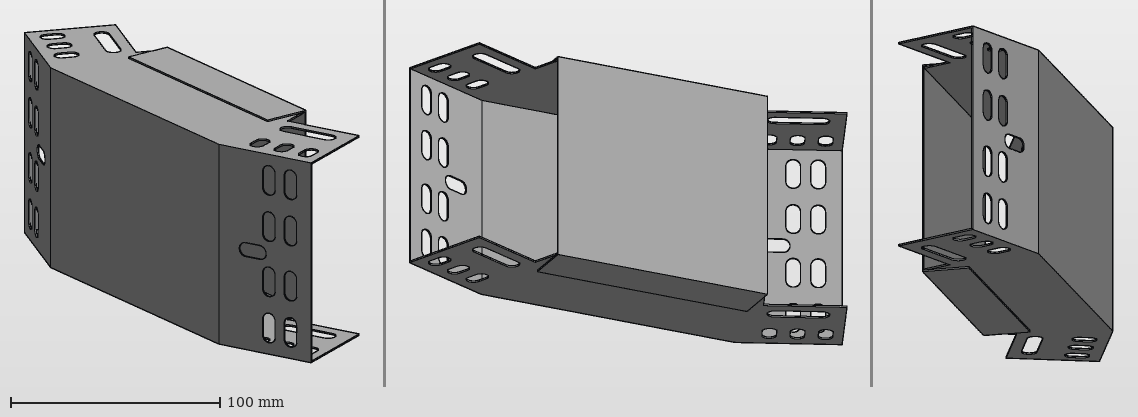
import cadquery as cq
import math


sheet = 0.8
inner_width = 100.0
tray_width = inner_width + 2 * sheet

leg_angle = 22.5
leg_length = 51.3
leg_depth = 45.0
web_half_length = 67.22
middle_depth = 60.0
notch_length = 40.0

cover_length = 111.0
cover_lip = 23.0
cover_width = tray_width + 2 * sheet

slot_width = 7.0
web_slot_length = 15.0
web_slot_alongs = (11.5, 23.5)
web_slot_heights = (-37.5, -14.0, 14.0, 37.5)
center_slot_along = 32.5
long_slot_length = 30.0
long_slot_width = 7.5
long_slot_along = 22.8
long_slot_depth = 35.3
short_slot_length = 12.0
short_slot_alongs = (8.5, 22.0, 35.5)
short_slot_depth = 11.8

cos_leg = math.cos(math.radians(leg_angle))
sin_leg = math.sin(math.radians(leg_angle))
tan_leg = math.tan(math.radians(leg_angle))
leg_end = (web_half_length + leg_length * cos_leg, leg_length * sin_leg)


def leg_point(along, depth):
    """Plan position on the +X leg, inward from its free end and back from its outer face."""
    x = leg_end[0] - along * cos_leg - depth * sin_leg
    y = leg_end[1] - along * sin_leg + depth * cos_leg
    return x, y


def mirrored_outline(half):
    """Closed plan outline from its +X half, listed from front to back."""
    return half + [(-x, y) for x, y in reversed(half)]


def plan_prism(outline, height):
    return cq.Workplane("XY").polyline(outline).close().extrude(height / 2, both=True)


def folded_tray():
    notch_corner = leg_point(notch_length, leg_depth)
    flange_end = (notch_corner[0] - (middle_depth - notch_corner[1]) * tan_leg, middle_depth)
    rim = [leg_point(0, leg_depth), notch_corner, flange_end]
    outer = [(web_half_length, 0), leg_end] + rim
    inner_bend = (web_half_length - sheet * math.tan(math.radians(leg_angle / 2)), sheet)
    inner = [
        inner_bend,
        leg_point(-sheet, sheet),
        leg_point(-sheet, leg_depth + middle_depth),
    ]
    cavity = plan_prism(mirrored_outline(inner), inner_width)
    return plan_prism(mirrored_outline(outer), tray_width).cut(cavity)


def web_slots():
    """Cutters through the web of the +X leg."""
    face = cq.Plane(
        origin=(leg_end[0], leg_end[1], 0),
        xDir=(-cos_leg, -sin_leg, 0),
        normal=(-sin_leg, cos_leg, 0),
    )
    upright_places = [(a, z) for a in web_slot_alongs for z in web_slot_heights]
    upright = (
        cq.Workplane(face)
        .pushPoints(upright_places)
        .slot2D(web_slot_length, slot_width, 90)
        .extrude(2 * sheet, both=True)
    )
    lengthwise = (
        cq.Workplane(face)
        .center(center_slot_along, 0)
        .slot2D(web_slot_length, slot_width)
        .extrude(2 * sheet, both=True)
    )
    return [upright, lengthwise]


def flange_slots():
    """Cutters through both flanges of the +X leg."""
    long_slot = (
        cq.Workplane("XY")
        .pushPoints([leg_point(long_slot_along, long_slot_depth)])
        .slot2D(long_slot_length, long_slot_width, leg_angle)
        .extrude(tray_width, both=True)
    )
    short_slots = (
        cq.Workplane("XY")
        .pushPoints([leg_point(a, short_slot_depth) for a in short_slot_alongs])
        .slot2D(short_slot_length, slot_width, leg_angle + 90)
        .extrude(tray_width, both=True)
    )
    return [long_slot, short_slots]


def build_tray():
    tray = folded_tray()
    for cutter in web_slots() + flange_slots():
        tray = tray.cut(cutter).cut(cutter.mirror("YZ"))
    return tray


def build_cover():
    """Back plate resting on the tray's flange edges, with a lip over each flange."""
    back = middle_depth + sheet
    block = cq.Workplane("XY").box(cover_length, cover_lip, cover_width)
    recess = cq.Workplane("XY").box(cover_length, cover_lip, tray_width)
    cover = block.cut(recess.translate((0, -sheet, 0)))
    return cover.translate((0, back - cover_lip / 2, 0))


tray = build_tray()
cover = build_cover()
result = cq.Compound.makeCompound([tray.val(), cover.val()])